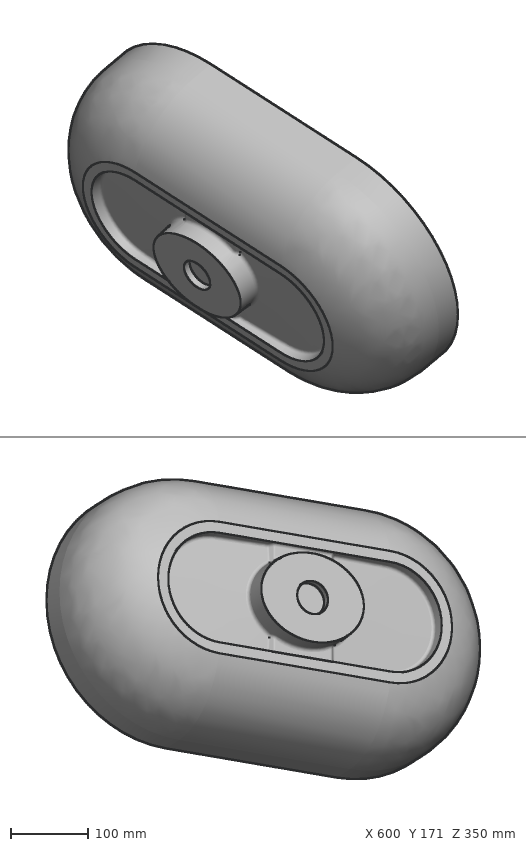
import cadquery as cq
import math

half_straight = 125.0
outer_radius = 175.0
body_depth = 150.0
side_depth = 38.0
front_radius = 90.0
back_round = 1.0

recess_radius = 75.0
recess_draft = 8.0
recess_cut_depth = 30.0
floor_slope = 3.0
floor_peak_depth = 6.5
recess_fillet = 4.0

band_half_width = 42.0
band_depth = 5.0
band_draft = 45.0

foot_half_width = 75.0
foot_half_height = 60.5
foot_height = 21.0
foot_draft = 3.0
foot_fillet = 4.5

drain_diameter = 45.0
plug_recess = 11.0
plug_length = 20.0

front_y = -body_depth
foot_y = front_y - foot_height
band_y = front_y + band_depth
foot_length = foot_height + recess_cut_depth
tolerance = 0.1


def front_plane(y):
    """Workplane at the given Y: normal along -Y, local axes along X and Z."""
    return cq.Workplane("XZ", origin=(0, y, 0))


def obround(y, radius):
    return front_plane(y).slot2D(2 * (half_straight + radius), 2 * radius)


def box_about_axis(half_x, half_z, y_near, y_far):
    """Selects items whose centre lies in a box centred on the Y axis."""
    return cq.selectors.BoxSelector(
        (-half_x, y_near - tolerance, -half_z),
        (half_x, y_far + tolerance, half_z),
    )


def make_shell():
    """Straight-sided back part and a domed front whose rim arc is tangent to the sides."""
    drop = outer_radius - front_radius
    rise = body_depth - side_depth
    arc_radius = (rise**2 + drop**2) / (2 * drop)
    mid_angle = math.atan2(rise, arc_radius - drop) / 2
    mid_radius = outer_radius - arc_radius * (1 - math.cos(mid_angle))
    mid_y = -side_depth - arc_radius * math.sin(mid_angle)

    sides = obround(0, outer_radius).extrude(side_depth)
    sides = sides.faces(">Y").edges().fillet(back_round)

    dome = (
        cq.Workplane("YZ", origin=(-half_straight, 0, 0))
        .moveTo(-side_depth, -outer_radius)
        .threePointArc((mid_y, -mid_radius), (front_y, -front_radius))
        .lineTo(front_y, front_radius)
        .threePointArc((mid_y, mid_radius), (-side_depth, outer_radius))
        .close()
        .extrude(2 * half_straight)
    )
    for side in (-1, 1):
        dome_end = (
            cq.Workplane("XY")
            .moveTo(0, -side_depth)
            .lineTo(side * outer_radius, -side_depth)
            .threePointArc((side * mid_radius, mid_y), (side * front_radius, front_y))
            .lineTo(0, front_y)
            .close()
            .revolve(360, (0, 0), (0, 1))
        )
        dome = dome.union(dome_end.translate((side * half_straight, 0, 0)))
    return sides.union(dome)


def make_floor_cone():
    """Solid behind the conical recess floor."""
    reach = half_straight + outer_radius
    peak_y = front_y + floor_peak_depth
    rim_y = peak_y + reach * math.tan(math.radians(floor_slope))
    return (
        cq.Workplane("XY")
        .polyline([(0, peak_y), (-reach, rim_y), (-reach, 0), (0, 0)])
        .close()
        .revolve(360, (0, 0), (0, 1))
    )


def make_recess():
    """The volume removed from the front face, with its floor edges already rounded."""
    pocket = obround(front_y, recess_radius).extrude(-recess_cut_depth, taper=recess_draft)
    band = (
        front_plane(band_y)
        .rect(2 * band_half_width, 4 * recess_radius)
        .extrude(-recess_cut_depth, taper=-band_draft)
    )
    recess = pocket.cut(make_floor_cone()).cut(band)

    band_top = box_about_axis(band_half_width + tolerance, recess_radius / 2, band_y, band_y)
    recess = recess.edges("|Z").edges(band_top).fillet(recess_fillet)

    step_reach = band_half_width + 2 * band_depth
    steps = box_about_axis(step_reach, foot_half_height, band_y + band_depth / 2, band_y + 2 * band_depth)
    recess = recess.edges(steps).fillet(recess_fillet)

    band_ends = box_about_axis(tolerance, recess_radius, band_y, band_y)
    return recess.edges(band_ends).fillet(recess_fillet)


def make_foot():
    flare = foot_length * math.tan(math.radians(foot_draft))
    return (
        front_plane(foot_y)
        .ellipse(foot_half_width, foot_half_height, rotation_angle=180)
        .workplane(offset=-foot_length)
        .ellipse(foot_half_width + flare, foot_half_height + flare, rotation_angle=180)
        .loft(ruled=True)
    )


def make_housing():
    housing = make_shell().cut(make_recess()).union(make_foot())
    foot_base = box_about_axis(tolerance, foot_half_height + foot_fillet, band_y, band_y)
    housing = housing.edges(foot_base).fillet(foot_fillet)
    bore = front_plane(foot_y).circle(drain_diameter / 2).extrude(-plug_recess - plug_length)
    return housing.cut(bore)


def make_plug():
    return front_plane(foot_y + plug_recess).circle(drain_diameter / 2).extrude(-plug_length)


housing = make_housing()
plug = make_plug()
result = cq.Compound.makeCompound([housing.val(), plug.val()])